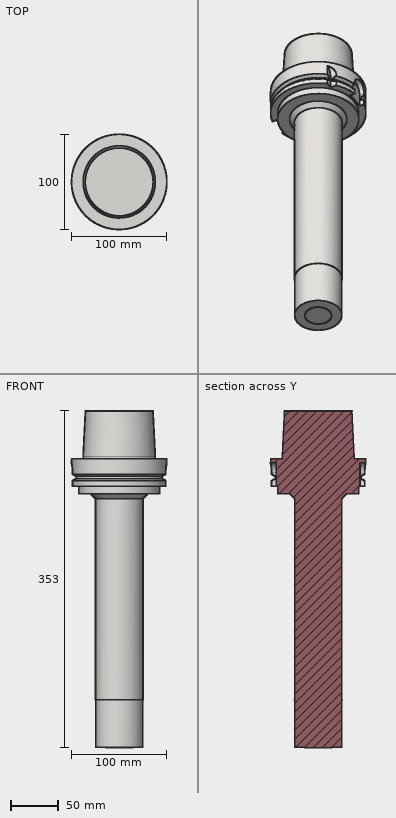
import cadquery as cq
import math

TAPER_TOP_Z = 50.0
TAPER_BASE_Z = 2.5
FLANGE_BOTTOM_Z = -29.0
COLLAR_BOTTOM_Z = -37.0
HEAD_TOP_Z = -252.5
HEAD_BOTTOM_Z = -302.5
PART_BOTTOM_Z = -303.0

TAPER_BASE_DIA = 75.75
TAPER_RATIO = 1 / 9.98
FLANGE_DIA = 100.0
COLLAR_DIA = 85.0
SHAFT_DIA = 50.0
HEAD_DIA = 49.5
END_BOSS_DIA = 28.0
NECK_CONE_HEIGHT = 5.0

GROOVE_CENTRE_Z = -19.75
GROOVE_WIDTH = 6.8
GROOVE_DEPTH = 3.75
GROOVE_HALF_ANGLE = 30.0

KEYWAY_FLOOR = 44.0
FRONT_KEYWAY_WIDTH = 20.0
REAR_KEYWAY_WIDTH = 22.0
KEYWAY_TOP_Z = -4.5

NOTCH_FLOOR = 32.0
NOTCH_WIDTH = 20.0
NOTCH_EDGE_Y = 31.5


def turned_body():
    flange_r = FLANGE_DIA / 2
    taper_base_r = TAPER_BASE_DIA / 2
    taper_top_r = taper_base_r - (TAPER_TOP_Z - TAPER_BASE_Z) * TAPER_RATIO / 2
    shaft_r = SHAFT_DIA / 2
    head_r = HEAD_DIA / 2
    outline = [
        (0, TAPER_TOP_Z),
        (taper_top_r, TAPER_TOP_Z),
        (taper_base_r, TAPER_BASE_Z),
        (taper_base_r, 0),
        (flange_r, 0),
        (flange_r, FLANGE_BOTTOM_Z),
        (COLLAR_DIA / 2, FLANGE_BOTTOM_Z),
        (COLLAR_DIA / 2, COLLAR_BOTTOM_Z),
        (shaft_r + NECK_CONE_HEIGHT, COLLAR_BOTTOM_Z),
        (shaft_r, COLLAR_BOTTOM_Z - NECK_CONE_HEIGHT),
        (shaft_r, HEAD_TOP_Z),
        (head_r, HEAD_TOP_Z),
        (head_r, HEAD_BOTTOM_Z),
        (END_BOSS_DIA / 2, HEAD_BOTTOM_Z),
        (END_BOSS_DIA / 2, PART_BOTTOM_Z),
        (0, PART_BOTTOM_Z),
    ]
    return cq.Workplane("XZ").polyline(outline).close().revolve(360, (0, 0), (0, 1))


def flange_groove():
    rim_r = FLANGE_DIA / 2
    root_r = rim_r - GROOVE_DEPTH
    half_rim = GROOVE_WIDTH / 2
    half_root = half_rim - GROOVE_DEPTH * math.tan(math.radians(GROOVE_HALF_ANGLE))
    outline = [
        (rim_r, GROOVE_CENTRE_Z + half_rim),
        (root_r, GROOVE_CENTRE_Z + half_root),
        (root_r, GROOVE_CENTRE_Z - half_root),
        (rim_r, GROOVE_CENTRE_Z - half_rim),
    ]
    return cq.Workplane("XZ").polyline(outline).close().revolve(360, (0, 0), (0, 1))


def rim_slot(centre_y, width, floor_x, outer_x):
    """Cutter along X from floor_x to outer_x, round at the top and open at the flange underside."""
    radius = width / 2
    arc_centre_z = KEYWAY_TOP_Z - radius
    return (
        cq.Workplane("YZ")
        .workplane(offset=floor_x)
        .moveTo(centre_y - radius, FLANGE_BOTTOM_Z)
        .lineTo(centre_y - radius, arc_centre_z)
        .threePointArc((centre_y, KEYWAY_TOP_Z), (centre_y + radius, arc_centre_z))
        .lineTo(centre_y + radius, FLANGE_BOTTOM_Z)
        .close()
        .extrude(outer_x - floor_x)
    )


def keyways():
    rim_r = FLANGE_DIA / 2
    front_keyway = rim_slot(0, FRONT_KEYWAY_WIDTH, -KEYWAY_FLOOR, -rim_r)
    rear_keyway = rim_slot(0, REAR_KEYWAY_WIDTH, KEYWAY_FLOOR, rim_r)
    return front_keyway.union(rear_keyway)


def orientation_notch():
    centre_y = NOTCH_EDGE_Y + NOTCH_WIDTH / 2
    return rim_slot(centre_y, NOTCH_WIDTH, -NOTCH_FLOOR, -FLANGE_DIA / 2)


result = turned_body().cut(flange_groove()).cut(keyways()).cut(orientation_notch())